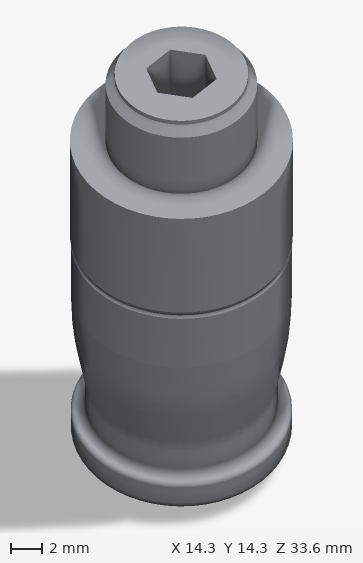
import cadquery as cq
import math

collar_radius = 14.3 / 2
grip_radius = 14.2 / 2
neck_radius = 12.35 / 2
stem_radius = 9.75 / 2
stem_tip_radius = 8.57 / 2
base_flat_radius = 6.0 / 2
groove_radius = 7.0

total_height = 33.6
tip_bottom = 33.25
stem_chamfer_bottom = 32.65
collar_top = 27.6
collar_bottom = 19.1
groove_height = 18.68
grip_top = 18.48
grip_curve_top = 14.05
neck_top = 5.75
flange_top = 3.5

neck_blend_radius = 4.55
flange_fillet = 0.5
flange_top_round = 0.3
flange_bottom_round = 0.8
dome_radius = 16.8

hex_across_flats = 4.0


def polar(center, radius, angle):
    """Point in the (radius, height) plane at an angle in radians from the radial direction."""
    return (center[0] + radius * math.cos(angle), center[1] + radius * math.sin(angle))


dome_center = (0, math.sqrt(dome_radius**2 - base_flat_radius**2))
round_center_radius = grip_radius - flange_bottom_round
center_distance = dome_radius - flange_bottom_round
round_center_drop = math.sqrt(center_distance**2 - round_center_radius**2)
round_center = (round_center_radius, dome_center[1] - round_center_drop)
dome_end_angle = -math.atan2(round_center_drop, round_center_radius)
dome_start_angle = -math.acos(base_flat_radius / dome_radius)
dome_middle = polar(dome_center, dome_radius, (dome_start_angle + dome_end_angle) / 2)
dome_end = polar(dome_center, dome_radius, dome_end_angle)
bottom_round_middle = polar(round_center, flange_bottom_round, dome_end_angle / 2)

fillet_center = (neck_radius + flange_fillet, flange_top + flange_fillet)
rim_center = (grip_radius - flange_top_round, flange_top - flange_top_round)

grip_step = grip_radius - neck_radius
grip_rise = grip_curve_top - neck_top
sweep = 2 * math.atan2(grip_step, grip_rise)
grip_curve_radius = grip_rise / math.sin(sweep) - neck_blend_radius
blend_center = (neck_radius + neck_blend_radius, neck_top)
grip_center = (grip_radius - grip_curve_radius, grip_curve_top)

body = (
    cq.Workplane("XZ")
    .lineTo(base_flat_radius, 0)
    .threePointArc(dome_middle, dome_end)
    .threePointArc(bottom_round_middle, (grip_radius, round_center[1]))
    .lineTo(grip_radius, rim_center[1])
    .threePointArc(polar(rim_center, flange_top_round, math.pi / 4), (rim_center[0], flange_top))
    .lineTo(fillet_center[0], flange_top)
    .threePointArc(
        polar(fillet_center, flange_fillet, 5 * math.pi / 4),
        (neck_radius, fillet_center[1]),
    )
    .lineTo(neck_radius, neck_top)
    .threePointArc(
        polar(blend_center, neck_blend_radius, math.pi - sweep / 2),
        polar(blend_center, neck_blend_radius, math.pi - sweep),
    )
    .threePointArc(
        polar(grip_center, grip_curve_radius, -sweep / 2),
        (grip_radius, grip_curve_top),
    )
    .lineTo(grip_radius, grip_top)
    .lineTo(groove_radius, groove_height)
    .lineTo(collar_radius, collar_bottom)
    .lineTo(collar_radius, collar_top)
    .lineTo(stem_radius, collar_top)
    .lineTo(stem_radius, stem_chamfer_bottom)
    .lineTo(stem_tip_radius, tip_bottom)
    .lineTo(stem_tip_radius, total_height)
    .lineTo(0, total_height)
    .close()
    .revolve(360, (0, 0, 0), (0, 1, 0))
)

hex_across_corners = hex_across_flats / math.cos(math.pi / 6)
hex_hole = (
    cq.Workplane("XY")
    .transformed(rotate=(0, 0, 90))
    .polygon(6, hex_across_corners)
    .extrude(total_height)
)

result = body.cut(hex_hole)